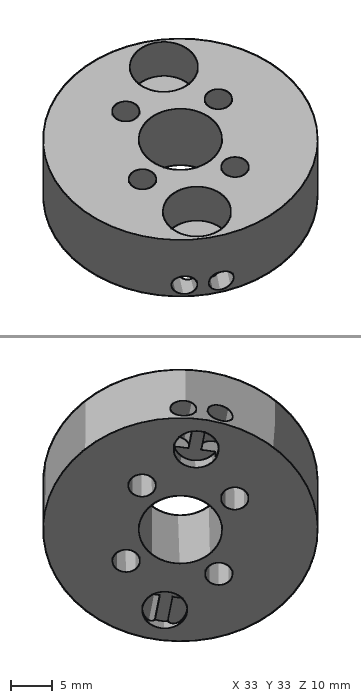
import cadquery as cq
import math

disc_diameter = 33.0
disc_height = 10.0
bore_diameter = 10.0

bolt_diameter = 3.3
bolt_circle_radius = 8.0
bolt_count = 4
bolt_start_angle = 76.8

pocket_diameter = 8.2
pocket_circle_radius = 12.0
pocket_floor_height = 4.0
pocket_count = 2
pocket_angle = 121.1

recess_diameter = 5.4
recess_depth = 1.5

side_hole_diameter = 3.1
side_hole_spacing = 4.5
side_hole_height = 2.0
side_hole_depth = 5.5


def ring_of_cylinders(diameter, circle_radius, start_angle, count, base_height, top_height=disc_height):
    """Upright cylinders evenly spaced on a circle, from base_height to top_height."""
    return (
        cq.Workplane("XY", origin=(0, 0, base_height))
        .polarArray(circle_radius, start_angle, 360, count)
        .circle(diameter / 2)
        .extrude(top_height - base_height)
    )


def side_hole(facing_angle, side_offset):
    """Horizontal blind cylinder entering the rim, parallel to the radius at facing_angle."""
    angle = math.radians(facing_angle)
    outward = cq.Vector(math.cos(angle), math.sin(angle), 0)
    sideways = cq.Vector(-math.sin(angle), math.cos(angle), 0)
    start = outward * (disc_diameter / 2) + sideways * side_offset + cq.Vector(0, 0, side_hole_height)
    return cq.Workplane(cq.Solid.makeCylinder(side_hole_diameter / 2, side_hole_depth, start, outward * -1))


result = cq.Workplane("XY").circle(disc_diameter / 2).circle(bore_diameter / 2).extrude(disc_height)

result = result.cut(ring_of_cylinders(bolt_diameter, bolt_circle_radius, bolt_start_angle, bolt_count, 0))
result = result.cut(
    ring_of_cylinders(pocket_diameter, pocket_circle_radius, pocket_angle, pocket_count, pocket_floor_height)
)

result = result.cut(
    ring_of_cylinders(recess_diameter, pocket_circle_radius, pocket_angle, pocket_count, 0, recess_depth)
)

for pocket in range(pocket_count):
    for side in (-1, 1):
        facing = pocket_angle + pocket * 360 / pocket_count
        result = result.cut(side_hole(facing, side * side_hole_spacing / 2))